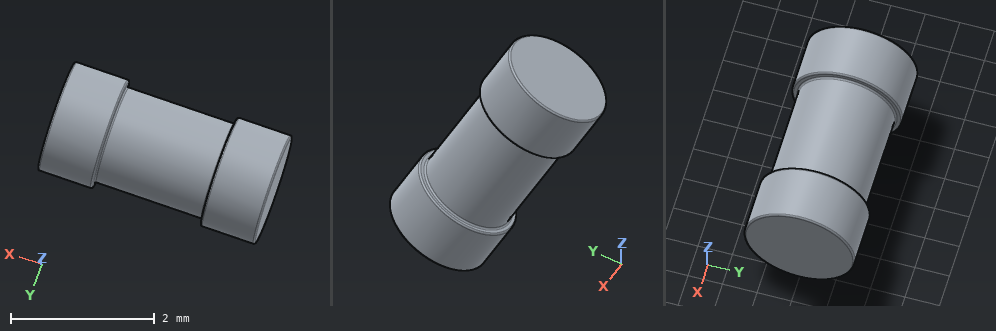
import cadquery as cq

length = 3.2
cap_diameter = 1.6
cap_length = 0.8
body_diameter = 1.4
edge_radius = 0.025

half_length = length / 2
body_length = length - 2 * cap_length


def cylinder_along_x(diameter, start_x, cylinder_length):
    """Solid cylinder centred on the X axis, starting at start_x."""
    return (
        cq.Workplane("YZ", origin=(start_x, 0, 0))
        .circle(diameter / 2)
        .extrude(cylinder_length)
    )


body = cylinder_along_x(body_diameter, -body_length / 2, body_length)
left_cap = cylinder_along_x(cap_diameter, -half_length, cap_length)
right_cap = cylinder_along_x(cap_diameter, half_length - cap_length, cap_length)
part = body.union(left_cap).union(right_cap)

result = part.edges("%CIRCLE").fillet(edge_radius)